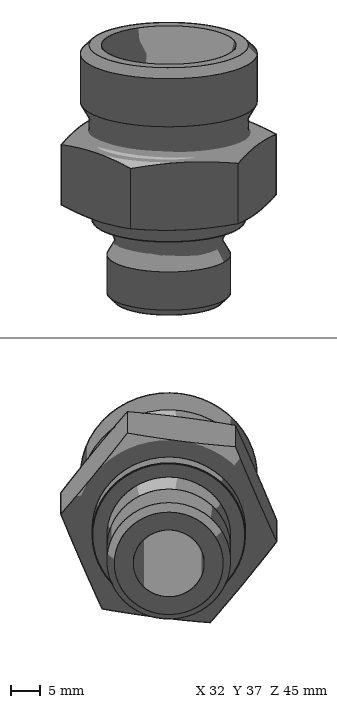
import cadquery as cq
import math

total_height = 45
stud_chamfer_height = 1.25
stud_thread_top = 8.0
stud_neck_z = 10.55
collar_bottom = 14.0
hex_bottom = 17.0
hex_top = 29.0
tube_thread_bottom = 35.0
tube_chamfer_height = 1.5

stud_thread_diameter = 20.95
stud_end_diameter = 18.45
stud_neck_diameter = 18.1
collar_diameter = 26.0
collar_chamfer = 0.15
hex_across_flats = 32.0
tube_groove_diameter = 27
tube_thread_diameter = 30.0
tube_end_diameter = 27

neck_blend_radius = 1.0
groove_blend_radius = 1.2
thread_runout_angle = 30
hex_chamfer_angle = 15
hex_half_sector = 30

tube_bore_diameter = 20.0
tube_bore_depth = 10.5
seat_mouth_diameter = 22.8
seat_half_angle = 12
lead_in_diameter = 16.0
lead_in_half_angle = 60
through_diameter = 12.0


def cone_height(large_diameter, small_diameter, half_angle):
    """Axial length of a cone between two diameters."""
    return (large_diameter - small_diameter) / 2 / math.tan(math.radians(half_angle))


def revolve_profile(points):
    """Solid of revolution about Z from (diameter, z) points, closed along the axis."""
    outline = [(0, points[0][1])]
    outline += [(diameter / 2, z) for diameter, z in points]
    outline.append((0, points[-1][1]))
    return cq.Workplane("XZ").polyline(outline).close().revolve(360, (0, 0), (0, 1))


def circular_edges_at(z, diameter):
    """Selector for circular edges at height z, no larger than the given diameter."""
    margin = 0.05
    reach = diameter / 2 + margin
    low_corner = (-reach, -reach, z - margin)
    high_corner = (reach, reach, z + margin)
    return cq.selectors.BoxSelector(low_corner, high_corner, boundingbox=True)


def make_stud():
    """Lower threaded stud with its waisted neck and sealing collar."""
    stud = revolve_profile([
        (stud_end_diameter, 0),
        (stud_thread_diameter, stud_chamfer_height),
        (stud_thread_diameter, stud_thread_top),
        (stud_neck_diameter, stud_neck_z),
        (stud_thread_diameter, collar_bottom),
        (collar_diameter - 2 * collar_chamfer, collar_bottom),
        (collar_diameter, collar_bottom + collar_chamfer),
        (collar_diameter, hex_bottom),
    ])
    neck_edge = circular_edges_at(stud_neck_z, stud_neck_diameter)
    return stud.edges(neck_edge).fillet(neck_blend_radius)


def make_hexagon():
    """Hexagon with corners on +Y and -Y, turned conically at both ends."""
    height = hex_top - hex_bottom
    across_corners = hex_across_flats / math.cos(math.radians(hex_half_sector))
    corner_drop = (across_corners - hex_across_flats) / 2 * math.tan(math.radians(hex_chamfer_angle))
    prism = (
        cq.Workplane("XY", origin=(0, 0, hex_bottom))
        .polygon(6, across_corners)
        .extrude(height)
        .rotate((0, 0, 0), (0, 0, 1), hex_half_sector)
    )
    turned_blank = revolve_profile([
        (hex_across_flats, hex_bottom),
        (across_corners, hex_bottom + corner_drop),
        (across_corners, hex_top - corner_drop),
        (hex_across_flats, hex_top),
    ])
    return prism.intersect(turned_blank)


def make_tube_end():
    """Upper threaded end with a runout groove above the hexagon."""
    groove_top = tube_thread_bottom - cone_height(
        tube_thread_diameter, tube_groove_diameter, thread_runout_angle
    )
    tube_end = revolve_profile([
        (tube_groove_diameter, hex_top),
        (tube_groove_diameter, groove_top),
        (tube_thread_diameter, tube_thread_bottom),
        (tube_thread_diameter, total_height - tube_chamfer_height),
        (tube_end_diameter, total_height),
    ])
    groove_edge = circular_edges_at(groove_top, tube_groove_diameter)
    return tube_end.edges(groove_edge).fillet(groove_blend_radius)


def make_bore():
    """Tapered tube socket stepping down through a lead-in cone to the through hole."""
    socket_floor = total_height - tube_bore_depth
    seat_bottom = total_height - cone_height(seat_mouth_diameter, tube_bore_diameter, seat_half_angle)
    lead_in_bottom = socket_floor - cone_height(lead_in_diameter, through_diameter, lead_in_half_angle)
    return revolve_profile([
        (through_diameter, 0),
        (through_diameter, lead_in_bottom),
        (lead_in_diameter, socket_floor),
        (tube_bore_diameter, socket_floor),
        (tube_bore_diameter, seat_bottom),
        (seat_mouth_diameter, total_height),
    ])


body = make_stud().union(make_hexagon()).union(make_tube_end())

body = body.edges(circular_edges_at(hex_top, tube_groove_diameter)).fillet(groove_blend_radius)

result = body.cut(make_bore())